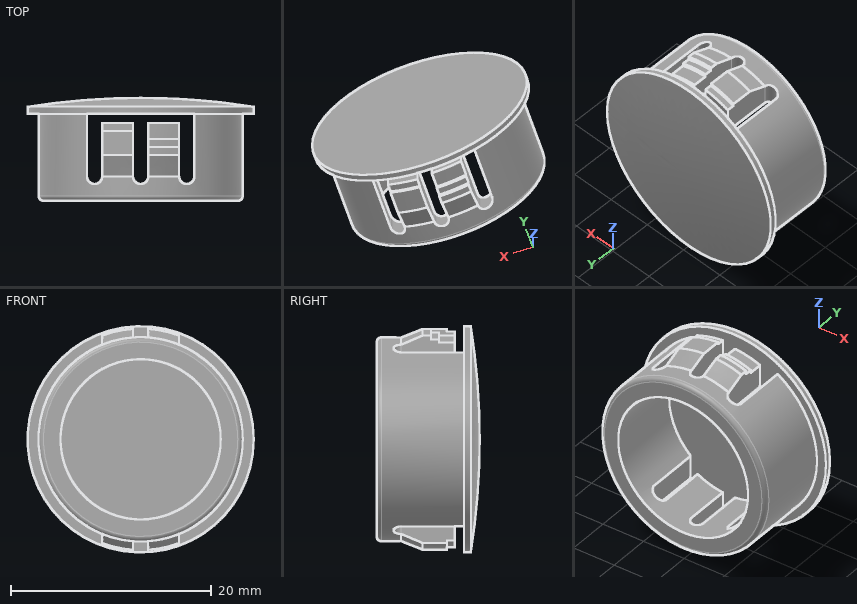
import cadquery as cq


flange_radius = 11.3
flange_thickness = 0.7
dome_height = 0.9

barrel_radius = 10.2
bore_radius = 8.0
barrel_length = 8.7
rim_fillet = 0.5

slot_width = 1.5
slot_pitch = 4.6
slot_depth = 7.0
slot_straight_depth = slot_depth - slot_width / 2
window_half_width = slot_pitch + slot_width / 2

finger_width = slot_pitch - slot_width
finger_gap = 0.9
ramp_start = 4.1
crest_radius = 11.05
single_step_depth = 1.7
single_step_radius = 10.8
upper_step_depth = 2.5
upper_step_radius = 10.4
lower_step_depth = 3.3
lower_step_radius = 10.7


def revolve_about_y(profile):
    return profile.close().revolve(360, (0, 0, 0), (0, 1, 0))


def make_cap():
    """Flange disc topped by a shallow spherical dome."""
    sphere_radius = (flange_radius**2 + dome_height**2) / (2 * dome_height)
    apex_y = flange_thickness + dome_height
    arc_mid_x = flange_radius / 2
    arc_mid_y = apex_y - sphere_radius + (sphere_radius**2 - arc_mid_x**2) ** 0.5
    profile = (
        cq.Workplane("XY")
        .lineTo(flange_radius, 0)
        .lineTo(flange_radius, flange_thickness)
        .threePointArc((arc_mid_x, arc_mid_y), (0, apex_y))
    )
    return revolve_about_y(profile)


def make_barrel():
    """Plain tube below the flange with a rounded outer rim."""
    tube = (
        cq.Workplane("XZ")
        .circle(barrel_radius)
        .circle(bore_radius)
        .extrude(barrel_length)
    )
    return tube.faces("<Y").edges(cq.selectors.RadiusNthSelector(-1)).fillet(rim_fillet)


def make_window():
    """Opening through both sides of the barrel, with three round slot ends."""
    full_height = 2 * flange_radius
    window = cq.Workplane("XY").box(
        2 * window_half_width, slot_straight_depth, full_height
    ).translate((0, -slot_straight_depth / 2, 0))
    slot_ends = (
        cq.Workplane("XY", origin=(0, -slot_straight_depth, 0))
        .pushPoints([(-slot_pitch, 0), (0, 0), (slot_pitch, 0)])
        .circle(slot_width / 2)
        .extrude(full_height / 2, both=True)
    )
    return window.union(slot_ends)


def make_finger(center_x, steps):
    """Upper snap finger that ramps up from the barrel; steps lists (radius, end depth) from the free tip."""
    profile = cq.Workplane("XY").moveTo(bore_radius, -finger_gap)
    depth = finger_gap
    for radius, end_depth in steps:
        profile = profile.lineTo(radius, -depth).lineTo(radius, -end_depth)
        depth = end_depth
    profile = (
        profile.lineTo(crest_radius, -depth)
        .lineTo(crest_radius, -ramp_start)
        .lineTo(barrel_radius, -slot_straight_depth)
        .lineTo(bore_radius, -slot_straight_depth)
    )
    finger_zone = cq.Workplane("XY").box(
        finger_width, barrel_length, flange_radius, centered=(True, True, False)
    ).translate((center_x, -barrel_length / 2, 0))
    return revolve_about_y(profile).intersect(finger_zone)


def make_finger_pair():
    """Upper pair: a single-step finger on -X and a double-step finger on +X."""
    single_steps = [(single_step_radius, single_step_depth)]
    double_steps = [
        (upper_step_radius, upper_step_depth),
        (lower_step_radius, lower_step_depth),
    ]
    single_finger = make_finger(-slot_pitch / 2, single_steps)
    double_finger = make_finger(slot_pitch / 2, double_steps)
    return single_finger.add(double_finger).combine()


result = make_barrel().cut(make_window()).union(make_cap())
finger_pair = make_finger_pair()
for turn in (0, 180):
    result = result.union(finger_pair.rotate((0, 0, 0), (0, 1, 0), turn))